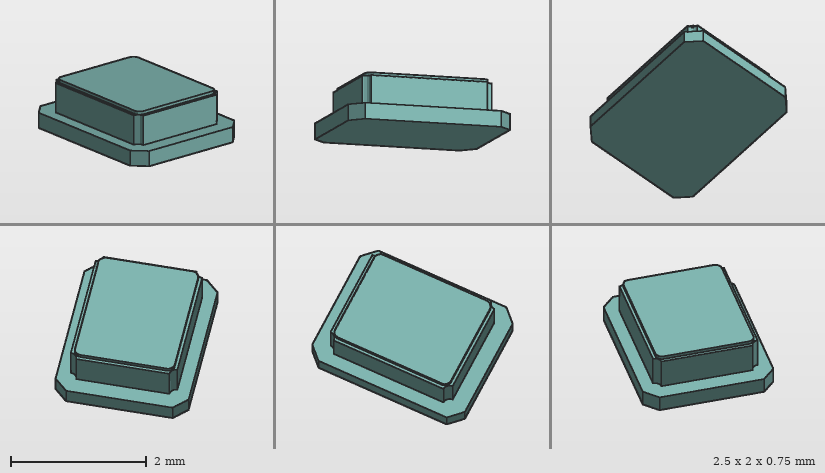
import cadquery as cq

base_length = 2.5
base_width = 2.0
base_height = 0.24
base_chamfer = 0.2

ledge_x = 0.25
ledge_y = 0.2
notch_radius = 0.1

total_height = 0.75
lid_thickness = 0.05
lid_inset = 0.05
lid_corner_radius = 0.1

body_length = base_length - 2 * ledge_x
body_width = base_width - 2 * ledge_y
body_height = total_height - lid_thickness - base_height
lid_length = body_length - 2 * lid_inset
lid_width = body_width - 2 * lid_inset


def make_block(length, width, height, bottom):
    """Block centred on the Z axis, standing on the level `bottom`."""
    return (
        cq.Workplane("XY", origin=(0, 0, bottom))
        .box(length, width, height, centered=(True, True, False))
    )


def make_base():
    plate = make_block(base_length, base_width, base_height, 0)
    return plate.edges("|Z").chamfer(base_chamfer)


def make_body():
    block = make_block(body_length, body_width, body_height, base_height)
    notches = (
        cq.Workplane("XY", origin=(0, 0, base_height))
        .rect(body_length, body_width, forConstruction=True)
        .vertices()
        .circle(notch_radius)
        .extrude(body_height)
    )
    return block.cut(notches)


def make_lid():
    slab = make_block(lid_length, lid_width, lid_thickness, base_height + body_height)
    return slab.edges("|Z").fillet(lid_corner_radius)


result = make_base().union(make_body()).union(make_lid())